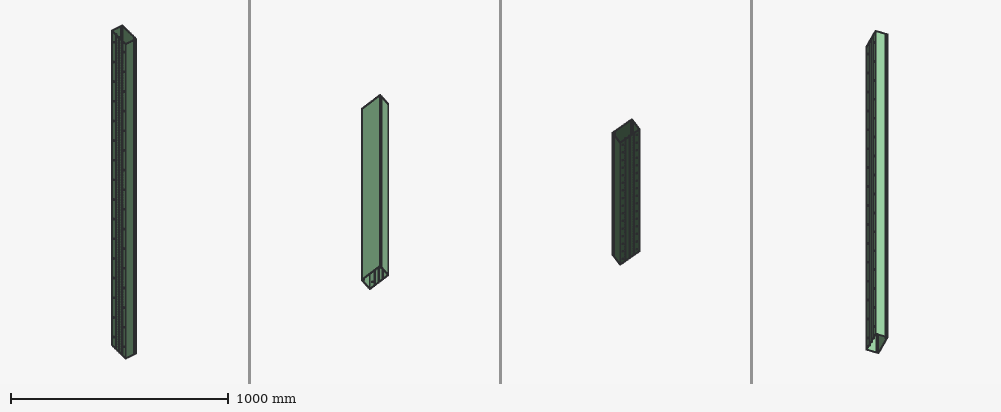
import cadquery as cq


LENGTH = 2000.0
INNER_WIDTH = 108.0
DEPTH = 60.0
WALL = 1.3
COVER_LIP = 10.0
HOOK_DROP = 7.5
HOOK_GAP = 88.0
RIB_WIDTH = 5.0
RIB_HEIGHT = 5.0
RIB_PITCH = 25.0
RIB_COUNT = 3
HOLE_DIAMETER = 5.0
HOLE_ROW_SPACING = 80.0
HOLE_COUNT = 16

HALF_WIDTH = INNER_WIDTH / 2 + WALL
FRONT = -DEPTH / 2
BACK = DEPTH / 2
FLOOR = FRONT + WALL
COVER_INSIDE = BACK - WALL
LIP_END = BACK - COVER_LIP
HOOK_FRONT = BACK - HOOK_DROP
HOOK_BACK = HOOK_FRONT + WALL
WALL_INSIDE = HALF_WIDTH - WALL
NECK_INSIDE = WALL_INSIDE - WALL
HOOK_TIP = HOOK_GAP / 2
HOLE_PITCH = LENGTH / HOLE_COUNT


def extrude_symmetric(right_half):
    """Extrude a section over the full length, given its right half as one open chain of points."""
    left_half = [(-x, y) for x, y in reversed(right_half)]
    section = cq.Workplane("XY").workplane(offset=-LENGTH / 2).polyline(right_half + left_half).close()
    return section.extrude(LENGTH)


def make_channel():
    """U-shaped channel whose side walls step inward and carry inward hooks near the back."""
    return extrude_symmetric([
        (HALF_WIDTH, FRONT),
        (HALF_WIDTH, LIP_END),
        (WALL_INSIDE, LIP_END),
        (WALL_INSIDE, COVER_INSIDE),
        (NECK_INSIDE, COVER_INSIDE),
        (NECK_INSIDE, HOOK_BACK),
        (HOOK_TIP, HOOK_BACK),
        (HOOK_TIP, HOOK_FRONT),
        (NECK_INSIDE, HOOK_FRONT),
        (NECK_INSIDE, LIP_END - WALL),
        (WALL_INSIDE, LIP_END - WALL),
        (WALL_INSIDE, FLOOR),
    ])


def make_ribs():
    """Full-length ribs on the inner side of the front wall."""
    return (
        cq.Workplane("XY", origin=(0, FLOOR + RIB_HEIGHT / 2, -LENGTH / 2))
        .rarray(RIB_PITCH, 20, RIB_COUNT, 1)
        .rect(RIB_WIDTH, RIB_HEIGHT)
        .extrude(LENGTH)
    )


def make_hole_cutters():
    """Two columns of round mounting holes through the front wall."""
    return (
        cq.Workplane("XZ", origin=(0, FLOOR, 0))
        .rarray(HOLE_ROW_SPACING, HOLE_PITCH, 2, HOLE_COUNT)
        .circle(HOLE_DIAMETER / 2)
        .extrude(WALL)
    )


def make_base():
    return make_channel().union(make_ribs()).cut(make_hole_cutters())


def make_cover():
    """Flat cover with a lip down each side, flush with the base's side walls."""
    return extrude_symmetric([
        (HALF_WIDTH, BACK),
        (HALF_WIDTH, LIP_END),
        (WALL_INSIDE, LIP_END),
        (WALL_INSIDE, COVER_INSIDE),
    ])


base = make_base()
cover = make_cover()

result = cq.Compound.makeCompound([base.val(), cover.val()])